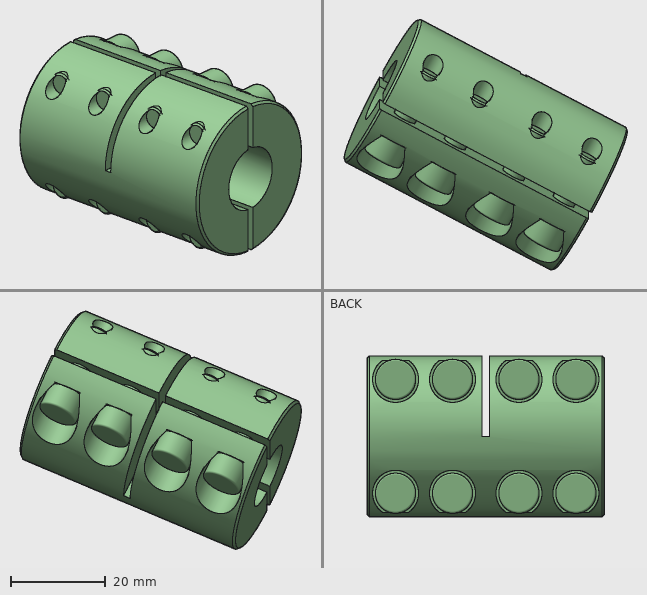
import cadquery as cq

length = 50.0
outer_radius = 17.0
bore_radius = 7.0
end_chamfer = 0.5
parting_gap = 1.5
relief_slit_width = 1.5

screw_x_inner = 7.0
screw_x_outer = 19.0
screw_z = 12.0
shank_radius = 2.5
shank_length = 16.0
tip_chamfer = 0.4
head_radius = 4.25
head_height = 2 * shank_radius
head_fillet = 0.4
head_seat_y = 5.75

counterbore_radius = 4.85
tap_hole_radius = shank_radius - tip_chamfer

screw_places = [
    (x, z)
    for x in (-screw_x_outer, -screw_x_inner, screw_x_inner, screw_x_outer)
    for z in (-screw_z, screw_z)
]


def y_cylinder(place, radius, y_start, y_end):
    """Cylinder along +Y, centred on an (x, z) place."""
    x, z = place
    return cq.Workplane(cq.Solid.makeCylinder(
        radius, y_end - y_start, cq.Vector(x, y_start, z), cq.Vector(0, 1, 0)
    ))


def make_screw(place):
    """Cap screw with a chamfered tip and a rounded head rim."""
    tip_y = head_seat_y - shank_length
    head_top_y = head_seat_y + head_height
    shank = y_cylinder(place, shank_radius, tip_y, head_seat_y).faces("<Y").chamfer(tip_chamfer)
    head = y_cylinder(place, head_radius, head_seat_y, head_top_y).faces(">Y").edges().fillet(head_fillet)
    return shank.union(head)


def make_half_shell(side):
    """Half of the sleeve on the +Y (side = 1) or -Y (side = -1) side of the parting gap."""
    sleeve = (
        cq.Workplane("YZ")
        .circle(outer_radius)
        .extrude(length / 2, both=True)
        .faces("<X or >X")
        .chamfer(end_chamfer)
    )
    bore = cq.Workplane("YZ").circle(bore_radius).extrude(length / 2, both=True)
    half_space = (
        cq.Workplane("XY")
        .box(length, outer_radius, 2 * outer_radius, centered=(True, False, True))
        .translate((0, parting_gap / 2, 0))
    )
    if side < 0:
        half_space = half_space.mirror("XZ")
    relief_slit = cq.Workplane("XY").box(
        relief_slit_width, 2 * outer_radius, outer_radius, centered=(True, True, False)
    )
    return sleeve.cut(bore).intersect(half_space).cut(relief_slit)


screws = [make_screw(place) for place in screw_places]

head_half = make_half_shell(1)
for place, screw in zip(screw_places, screws):
    counterbore = y_cylinder(place, counterbore_radius, head_seat_y, outer_radius)
    head_half = head_half.cut(counterbore).cut(screw)

thread_half = make_half_shell(-1)
for place, screw in zip(screw_places, screws):
    tap_hole = y_cylinder(place, tap_hole_radius, -outer_radius, 0)
    thread_half = thread_half.cut(tap_hole).cut(screw)

result = cq.Compound.makeCompound([
    head_half.val(),
    thread_half.val(),
    *[screw.val() for screw in screws],
])